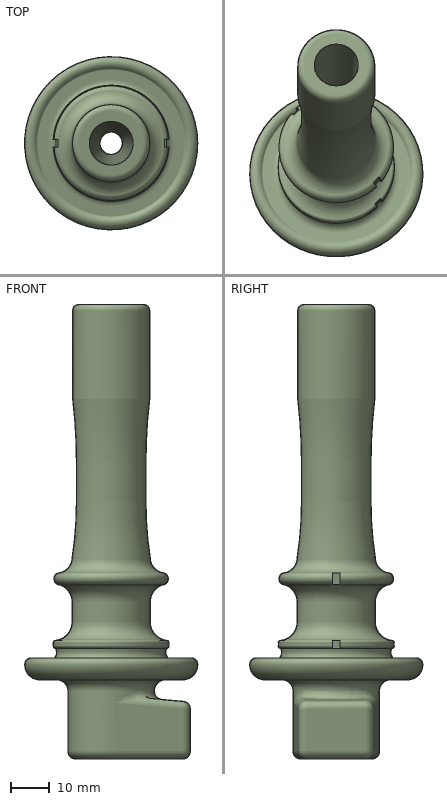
import cadquery as cq
import math

TOTAL_HEIGHT = 116.59
HEAD_BOTTOM_Z = 92.25
WAIST_TOP_Z = 76.1
WAIST_BOTTOM_Z = 65.9
FLARE_BOTTOM_Z = 51.6
RING_TOP_Z = 47.8
RING_BOTTOM_Z = 44.65
NECK_TOP_Z = 40.3
NECK_BOTTOM_Z = 35.1
COLLAR_TOP_Z = 30.45
COLLAR_BOTTOM_Z = 28.35
SEAT_Z = 27.3
FLANGE_FLOOR_Z = 25.15
FLANGE_RIM_Z = 24.2
FLANGE_BOTTOM_Z = 20.3
BASE_TOP_Z = 17.5

HEAD_RADIUS = 9.9
WAIST_RADIUS = 8.95
NECK_RADIUS = 10.05
RING_RADIUS = 14.7
COLLAR_RADIUS = 14.9
SEAT_RADIUS = 14.05
FLANGE_RADIUS = 44.45 / 2
BASE_RADIUS = 11.1

HEAD_ROUNDING = 1.6
COLLAR_ROUNDING = 0.7
RIM_BEAD_RADIUS = 1.75
RIM_FILLET = 0.4
BASE_ROUNDING = 2.0

BORE_MOUTH_RADIUS = 5.6
BORE_END_RADIUS = 2.85

NOTCH_WIDTH = 2.0
RING_NOTCH_FLOOR_RADIUS = 13.7
COLLAR_NOTCH_FLOOR_RADIUS = 14.2

LEVER_REACH = 20.3
LEVER_TAPER_ANGLE = 5.0
LEVER_TOP_ANGLE = 5.0
LEVER_TIP_HEIGHT = 14.65
LEVER_ROOT_FILLET = 2.0


def cove_middle(radius, z, end_radius, end_z):
    """Midpoint of an arc that leaves (radius, z) vertically and ends at (end_radius, end_z)."""
    run = end_radius - radius
    rise = end_z - z
    arc_radius = (run**2 + rise**2) / (2 * run)
    half_sweep = math.atan2(abs(run), abs(rise))
    middle_radius = radius + arc_radius * (1 - math.cos(half_sweep))
    middle_z = z + math.copysign(abs(arc_radius) * math.sin(half_sweep), rise)
    return middle_radius, middle_z


def cove_out(profile, radius, z, end_radius, end_z):
    """Add an arc that starts vertical at (radius, z)."""
    middle = cove_middle(radius, z, end_radius, end_z)
    return profile.threePointArc(middle, (end_radius, end_z))


def cove_in(profile, start_radius, start_z, radius, z):
    """Add an arc that finishes vertical at (radius, z)."""
    middle = cove_middle(radius, z, start_radius, start_z)
    return profile.threePointArc(middle, (radius, z))


def turned_body():
    """Everything above the base cylinder, turned about Z."""
    ring_half_height = (RING_TOP_Z - RING_BOTTOM_Z) / 2
    ring_edge_radius = RING_RADIUS - ring_half_height
    collar_edge_radius = COLLAR_RADIUS - COLLAR_ROUNDING
    flange_rounding = FLANGE_RIM_Z - FLANGE_BOTTOM_Z
    seat_fillet = SEAT_Z - FLANGE_FLOOR_Z
    base_cove = FLANGE_BOTTOM_Z - BASE_TOP_Z
    bead_centre_radius = FLANGE_RADIUS - RIM_BEAD_RADIUS

    fillet_centre_z = FLANGE_FLOOR_Z + RIM_FILLET
    centre_rise = fillet_centre_z - FLANGE_RIM_Z
    centre_run = math.sqrt((RIM_BEAD_RADIUS + RIM_FILLET)**2 - centre_rise**2)
    fillet_centre_radius = bead_centre_radius - centre_run
    bead_share = RIM_BEAD_RADIUS / (RIM_BEAD_RADIUS + RIM_FILLET)
    bead_inner_radius = bead_centre_radius - centre_run * bead_share
    bead_inner_z = FLANGE_RIM_Z + centre_rise * bead_share

    p = cq.Workplane("XZ").moveTo(0, BASE_TOP_Z).lineTo(BASE_RADIUS, BASE_TOP_Z)
    p = p.radiusArc((BASE_RADIUS + base_cove, FLANGE_BOTTOM_Z), base_cove)
    p = p.lineTo(FLANGE_RADIUS - flange_rounding, FLANGE_BOTTOM_Z)
    p = p.radiusArc((FLANGE_RADIUS, FLANGE_RIM_Z), -flange_rounding)

    p = p.threePointArc(
        (bead_centre_radius, FLANGE_RIM_Z + RIM_BEAD_RADIUS),
        (bead_inner_radius, bead_inner_z),
    )
    p = p.radiusArc((fillet_centre_radius, FLANGE_FLOOR_Z), RIM_FILLET)
    p = p.lineTo(SEAT_RADIUS + seat_fillet, FLANGE_FLOOR_Z)
    p = p.radiusArc((SEAT_RADIUS, SEAT_Z), seat_fillet)

    p = cove_out(p, SEAT_RADIUS, SEAT_Z, collar_edge_radius, COLLAR_BOTTOM_Z)
    p = p.radiusArc((COLLAR_RADIUS, COLLAR_BOTTOM_Z + COLLAR_ROUNDING), -COLLAR_ROUNDING)
    p = p.lineTo(COLLAR_RADIUS, COLLAR_TOP_Z - COLLAR_ROUNDING)
    p = p.radiusArc((collar_edge_radius, COLLAR_TOP_Z), -COLLAR_ROUNDING)

    p = cove_in(p, collar_edge_radius, COLLAR_TOP_Z, NECK_RADIUS, NECK_BOTTOM_Z)
    p = p.lineTo(NECK_RADIUS, NECK_TOP_Z)
    p = cove_out(p, NECK_RADIUS, NECK_TOP_Z, ring_edge_radius, RING_BOTTOM_Z)
    p = p.threePointArc(
        (RING_RADIUS, RING_BOTTOM_Z + ring_half_height),
        (ring_edge_radius, RING_TOP_Z),
    )
    p = cove_in(p, ring_edge_radius, RING_TOP_Z, NECK_RADIUS, FLARE_BOTTOM_Z)

    p = cove_in(p, NECK_RADIUS, FLARE_BOTTOM_Z, WAIST_RADIUS, WAIST_BOTTOM_Z)
    p = p.lineTo(WAIST_RADIUS, WAIST_TOP_Z)
    p = cove_out(p, WAIST_RADIUS, WAIST_TOP_Z, HEAD_RADIUS, HEAD_BOTTOM_Z)
    p = p.lineTo(HEAD_RADIUS, TOTAL_HEIGHT - HEAD_ROUNDING)
    p = p.radiusArc((HEAD_RADIUS - HEAD_ROUNDING, TOTAL_HEIGHT), -HEAD_ROUNDING)
    p = p.lineTo(0, TOTAL_HEIGHT).close()
    return p.revolve(360, (0, 0, 0), (0, 1, 0))


def lever():
    """Tapered arm towards +X whose sides are tangent to the base, with a sloping top."""
    taper = math.radians(LEVER_TAPER_ANGLE)
    slope = math.tan(math.radians(LEVER_TOP_ANGLE))
    tangent_x = BASE_RADIUS * math.sin(taper)
    tangent_y = BASE_RADIUS * math.cos(taper)
    tip_y = tangent_y - (LEVER_REACH - tangent_x) * math.tan(taper)
    root_height = LEVER_TIP_HEIGHT + (LEVER_REACH - tangent_x) * slope

    outline = [
        (tangent_x, -tangent_y),
        (LEVER_REACH, -tip_y),
        (LEVER_REACH, tip_y),
        (tangent_x, tangent_y),
    ]
    side_view = [
        (tangent_x, 0),
        (LEVER_REACH, 0),
        (LEVER_REACH, LEVER_TIP_HEIGHT),
        (tangent_x, root_height),
    ]
    arm = cq.Workplane("XY").polyline(outline).close().extrude(root_height)
    arm = arm.intersect(cq.Workplane("XZ").polyline(side_view).close().extrude(BASE_RADIUS, both=True))
    arm = arm.faces(">X").edges("|Z").fillet(BASE_ROUNDING)
    return arm.faces(">Z").edges("not(<X)").fillet(BASE_ROUNDING)


def bore():
    """Cutter for the through bore, which narrows steadily from top to bottom."""
    return (
        cq.Workplane("XZ")
        .lineTo(BORE_END_RADIUS, 0)
        .lineTo(BORE_MOUTH_RADIUS, TOTAL_HEIGHT)
        .lineTo(0, TOTAL_HEIGHT)
        .close()
        .revolve(360, (0, 0, 0), (0, 1, 0))
    )


def notch_pair(floor_radius, bottom_z, top_z):
    """Cutters for two opposite flat-bottomed notches at -X and +X."""
    depth = FLANGE_RADIUS - floor_radius
    middle_radius = floor_radius + depth / 2
    return (
        cq.Workplane("XY", origin=(0, 0, bottom_z))
        .pushPoints([(-middle_radius, 0), (middle_radius, 0)])
        .rect(depth, NOTCH_WIDTH)
        .extrude(top_z - bottom_z)
    )


def base_with_lever():
    """Base cylinder, run up inside the cove, with the lever blended into it."""
    base = cq.Workplane("XY").circle(BASE_RADIUS).extrude(FLANGE_RIM_Z)
    base = base.rotate((0, 0, 0), (0, 0, 1), 180)
    base = base.union(lever())
    base = base.faces("<Z").edges().fillet(BASE_ROUNDING)

    margin = LEVER_ROOT_FILLET / 4
    root_zone = cq.selectors.BoxSelector(
        (0, -BASE_RADIUS, LEVER_TIP_HEIGHT - BASE_ROUNDING),
        (BASE_RADIUS + margin, BASE_RADIUS, BASE_TOP_Z - margin),
    )
    return base.edges(root_zone).edges("not(|Z)").fillet(LEVER_ROOT_FILLET)


result = (
    turned_body()
    .union(base_with_lever())
    .cut(bore())
    .cut(notch_pair(RING_NOTCH_FLOOR_RADIUS, RING_BOTTOM_Z, FLARE_BOTTOM_Z))
    .cut(notch_pair(COLLAR_NOTCH_FLOOR_RADIUS, SEAT_Z, NECK_BOTTOM_Z))
)